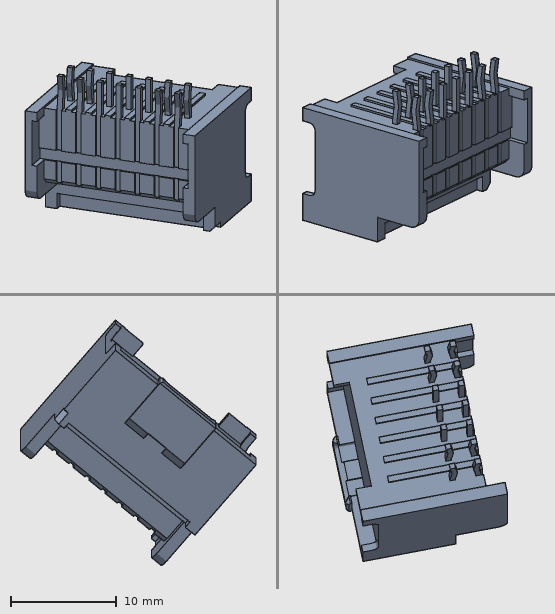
import cadquery as cq
WIDTH = 17.4
HALF_WIDTH = WIDTH / 2
WALL = 1.2
HALF_INNER = HALF_WIDTH - WALL
WALL_DEPTH = 13.97
WALL_TOP = 11.5
FOOT_TOP = 2.5
FOOT_FRONT = 5.0
FOOT_ROUND = 1.0

BODY_FRONT = 1.83
BODY_TOP = 11.31
BODY_UNDERSIDE = 4.14
UNDERSIDE_CHAMFER = 0.49
FOOT_RECESS_TOP = 1.55
FOOT_RECESS_DEPTH = 0.68

HALF_RECESS = 8.0
RECESS_TOP = 10.58
GROOVE_TOP = 7.2
GROOVE_BOTTOM = 6.07
GROOVE_DEPTH = 0.2

NOTCH_BOTTOM = 2.73
NOTCH_TOP = 10.15
NOTCH_DEPTH = 1.5
NOTCH_ROUND = 0.7
NOTCH_FLOOR = WALL_DEPTH - NOTCH_DEPTH

HALF_WINDOW = 5.3
LEDGE_TOP = 1.74
LEDGE_ROUND = 0.09
LIP_ROUND = 0.21

PITCH = 2.0
COLUMNS = 7
PIN = 0.52
ROW_FRONTS = (2.07, 4.56)
PIN_BOTTOM = BODY_UNDERSIDE
PIN_TOP = 14.67
KINK_BOTTOM = 11.6
KINK_MIDDLE = 13.17
KINK_OFFSET = 0.21
STRAIGHT_COLUMNS = 3

RIB_WIDTH = 0.61
RIB_BACK = 10.8

PAD_BACK = 14.5
PAD_DROP = 0.23
PAD_HALF = 3.45
PAD_TOP = 1.95
PAD_ROUND = 0.7
PAD_SHOULDER = 1.34
PAD_TOP_BACK = 14.13
PAD_CORNER = 0.21
PAD_FRONT = 9.1
PAD_RAMP = 0.66
RAMP_GAP_HALF = 1.11

CHANNEL_HALF = 2.63
CHANNEL_FLOOR = 1.4
CHANNEL_ROUND = 0.2
MOUTH_START = 14.08
RIB_HALF = 0.94
RIB_HEIGHT = 0.2

KEY_CHAMFER = 0.54
KEY_LENGTH = 1.4


def block(x0, x1, y0, y1, z0, z1):
    """Box given by its limits along each axis."""
    return cq.Workplane("XY").box(x1 - x0, y1 - y0, z1 - z0, centered=False).translate((x0, y0, z0))


def across(half_width, y0, y1, z0, z1):
    """Box centred on X."""
    return block(-half_width, half_width, y0, y1, z0, z1)


def side_profile(points, half_width, centre=0):
    """Y-Z outline extruded along X, centred on the given X."""
    outline = cq.Workplane("YZ", origin=(centre, 0, 0)).polyline(points).close()
    return outline.extrude(half_width, both=True)


def make_shell():
    walls = side_profile(
        [(0, FOOT_TOP), (FOOT_FRONT, FOOT_TOP), (FOOT_FRONT, 0),
         (WALL_DEPTH, 0), (WALL_DEPTH, WALL_TOP), (0, WALL_TOP)],
        HALF_WIDTH,
    )
    walls = walls.edges(cq.selectors.NearestToPointSelector((0, 0, FOOT_TOP))).fillet(FOOT_ROUND)

    shell = walls.cut(across(HALF_INNER, 0, BODY_FRONT, 0, WALL_TOP))
    shell = shell.cut(across(HALF_INNER, 0, NOTCH_FLOOR, BODY_TOP, WALL_TOP))
    shell = shell.cut(across(HALF_INNER, NOTCH_FLOOR, WALL_DEPTH, BODY_TOP, WALL_TOP))
    underside_height = BODY_UNDERSIDE - UNDERSIDE_CHAMFER
    underside = side_profile(
        [(BODY_FRONT, 0), (FOOT_FRONT, 0), (FOOT_FRONT, underside_height),
         (BODY_FRONT + UNDERSIDE_CHAMFER, underside_height), (BODY_FRONT, BODY_UNDERSIDE)],
        HALF_INNER,
    )
    shell = shell.cut(underside)
    foot_recess = across(HALF_INNER, FOOT_FRONT, FOOT_FRONT + FOOT_RECESS_DEPTH, 0, FOOT_RECESS_TOP)
    shell = shell.cut(foot_recess)

    shell = shell.cut(across(HALF_RECESS, 0, BODY_FRONT, GROOVE_BOTTOM, RECESS_TOP))
    return shell.cut(across(HALF_RECESS, 0, BODY_FRONT + GROOVE_DEPTH, GROOVE_BOTTOM, GROOVE_TOP))


def cut_back(shell):
    notch = across(HALF_WIDTH, NOTCH_FLOOR, WALL_DEPTH, NOTCH_BOTTOM, NOTCH_TOP)
    notch = notch.edges("|X and <Y").fillet(NOTCH_ROUND)
    shell = shell.cut(notch)
    shell = shell.cut(across(HALF_WINDOW, NOTCH_FLOOR, WALL_DEPTH, RECESS_TOP, WALL_TOP))

    opening = (
        cq.Workplane("YZ")
        .moveTo(NOTCH_FLOOR, LEDGE_TOP)
        .lineTo(WALL_DEPTH - LEDGE_ROUND, LEDGE_TOP)
        .radiusArc((WALL_DEPTH, LEDGE_TOP - LEDGE_ROUND), LEDGE_ROUND)
        .lineTo(WALL_DEPTH, RECESS_TOP + LIP_ROUND)
        .radiusArc((WALL_DEPTH - LIP_ROUND, RECESS_TOP), LIP_ROUND)
        .lineTo(NOTCH_FLOOR, RECESS_TOP)
        .close()
        .extrude(HALF_RECESS, both=True)
    )
    return shell.cut(opening)


def cut_key_corner(shell):
    corner = (
        cq.Workplane("XZ", origin=(HALF_WIDTH, FOOT_FRONT, 0))
        .polyline([(0, 0), (-KEY_CHAMFER, 0), (0, KEY_CHAMFER)])
        .close()
        .extrude(-KEY_LENGTH)
    )
    return shell.cut(corner)


def make_pad():
    profile = (
        cq.Workplane("YZ")
        .moveTo(PAD_FRONT, 0)
        .lineTo(PAD_FRONT + PAD_RAMP, -PAD_DROP)
        .lineTo(PAD_BACK - PAD_DROP, -PAD_DROP)
        .lineTo(PAD_BACK, 0)
        .lineTo(PAD_BACK, PAD_SHOULDER)
        .radiusArc((PAD_TOP_BACK, PAD_TOP), -PAD_ROUND)
        .lineTo(WALL_DEPTH, PAD_TOP)
        .lineTo(WALL_DEPTH, 0)
        .close()
        .extrude(PAD_HALF, both=True)
    )

    plan = across(PAD_HALF, PAD_FRONT, PAD_BACK, -PAD_DROP, PAD_TOP)
    plan = plan.edges("|Z and >Y").chamfer(PAD_CORNER)

    ramp_gap = across(RAMP_GAP_HALF, PAD_FRONT, PAD_FRONT + PAD_RAMP, -PAD_DROP, 0)
    return profile.intersect(plan).cut(ramp_gap)


def cut_channel(shell):
    channel = across(CHANNEL_HALF, NOTCH_FLOOR, PAD_BACK, CHANNEL_FLOOR, NOTCH_BOTTOM)
    channel = channel.edges("|Y and <Z").fillet(CHANNEL_ROUND)
    mouth_depth = PAD_BACK - MOUTH_START
    mouth = (
        cq.Workplane("XZ", origin=(0, MOUTH_START, (CHANNEL_FLOOR + NOTCH_BOTTOM) / 2))
        .sketch()
        .rect(2 * CHANNEL_HALF, NOTCH_BOTTOM - CHANNEL_FLOOR)
        .vertices()
        .fillet(CHANNEL_ROUND)
        .finalize()
        .extrude(-mouth_depth, taper=-45)
    )
    rib = side_profile(
        [(NOTCH_FLOOR, CHANNEL_FLOOR), (MOUTH_START, CHANNEL_FLOOR),
         (MOUTH_START - RIB_HEIGHT, CHANNEL_FLOOR + RIB_HEIGHT), (NOTCH_FLOOR, CHANNEL_FLOOR + RIB_HEIGHT)],
        RIB_HALF,
    )
    return shell.cut(channel).cut(mouth).union(rib)


def make_pin(x, front, bend):
    """Square pin; bend is the Y direction of its kink, 0 for a straight pin."""
    shift = bend * KINK_OFFSET
    path = [(0, PIN_BOTTOM), (0, KINK_BOTTOM), (shift, KINK_MIDDLE), (0, PIN_TOP)]
    front_edge = [(front + dy, z) for dy, z in path]
    back_edge = [(front + PIN + dy, z) for dy, z in reversed(path)]
    return side_profile(front_edge + back_edge, PIN / 2, x)


shell = cut_key_corner(cut_back(make_shell()))
middle = (COLUMNS - 1) / 2
column_places = [(i - middle) * PITCH for i in range(COLUMNS)]

for x in column_places:
    for z0, z1 in ((0, GROOVE_BOTTOM), (GROOVE_TOP, BODY_TOP)):
        shell = shell.cut(block(x - PIN / 2, x + PIN / 2, BODY_FRONT, ROW_FRONTS[0], z0, z1))

for x in column_places[:-1]:
    rib_left = x + PITCH / 2 - RIB_WIDTH / 2
    shell = shell.union(block(rib_left, rib_left + RIB_WIDTH, BODY_FRONT, RIB_BACK, BODY_TOP, WALL_TOP))

shell = cut_channel(shell.union(make_pad()))

for x in column_places:
    straight = abs(x) < STRAIGHT_COLUMNS * PITCH / 2
    for front, bend in zip(ROW_FRONTS, (1, -1)):
        shell = shell.union(make_pin(x, front, 0 if straight else bend))

result = shell